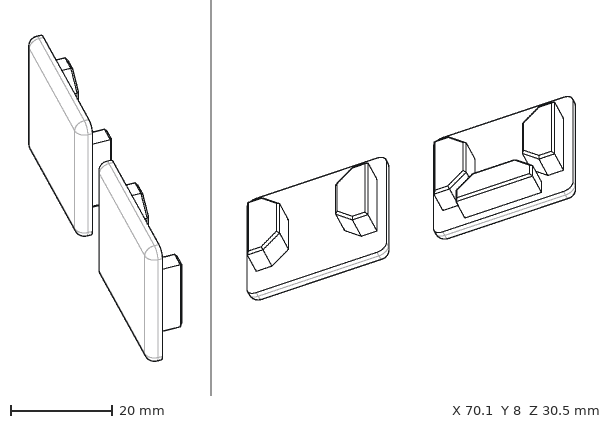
import cadquery as cq


overall_length = 70.1
overall_depth = 8.0
overall_height = 30.5

plate_side = 30.0
plate_thickness = 3.0
edge_radius = 2.0

peg_inset = edge_radius
peg_width = 16.5
peg_straight = 3.4
peg_depth = 6.95
peg_height = overall_depth - plate_thickness
peg_chamfer = 0.5

cap_pitch = overall_length - plate_side
cap_rise = overall_height - plate_side

LOWER = 0
RIGHT = -90
LEFT = 90


def make_plate():
    """Plate centred on X and Z, back face on Y = 0, front edges and corners rounded."""
    block = cq.Workplane("XY").box(plate_side, plate_thickness, plate_side)
    rounded = block.edges("|Y or <Y").fillet(edge_radius)
    return rounded.translate((0, -plate_thickness / 2, 0))


def make_peg(turn):
    """Peg on the back face whose 45 degree flanks narrow toward the plate centre."""
    outer_z = -plate_side / 2 + peg_inset
    shoulder_z = outer_z + peg_straight
    inner_z = outer_z + peg_depth
    half_outer = peg_width / 2
    half_inner = half_outer - (peg_depth - peg_straight)
    outline = [
        (-half_outer, outer_z),
        (half_outer, outer_z),
        (half_outer, shoulder_z),
        (half_inner, inner_z),
        (-half_inner, inner_z),
        (-half_outer, shoulder_z),
    ]
    peg = cq.Workplane("XZ").polyline(outline).close().extrude(-peg_height)
    peg = peg.faces(">Y").chamfer(peg_chamfer)
    return peg.rotate((0, 0, 0), (0, 1, 0), turn)


def make_cap(peg_turns):
    """One cap: a plate with a peg at each of the given turns."""
    cap = make_plate()
    for turn in peg_turns:
        cap = cap.union(make_peg(turn))
    return cap


three_peg_cap = make_cap([LEFT, LOWER, RIGHT])
two_peg_cap = make_cap([LEFT, RIGHT]).translate((cap_pitch, 0, cap_rise))

result = cq.Compound.makeCompound([three_peg_cap.val(), two_peg_cap.val()])